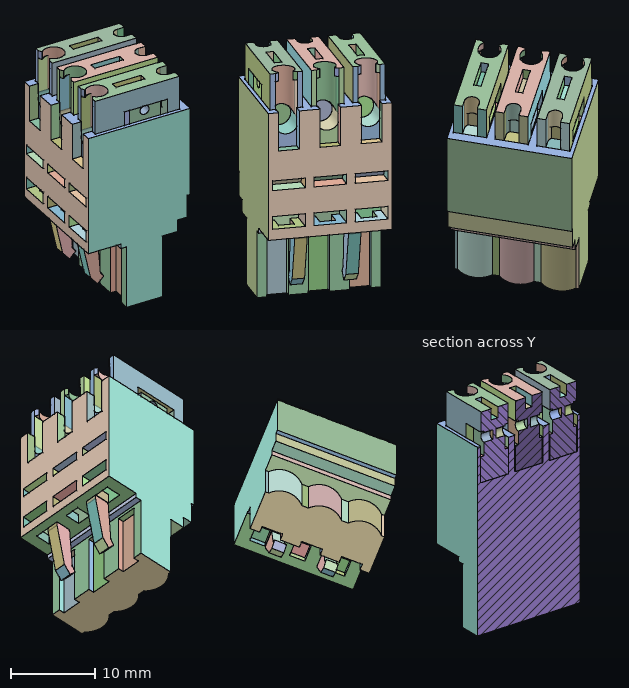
import cadquery as cq
import math

POLES = 3
WIDTH = 15.25
DEPTH = 14.0
HEIGHT = 29.5
PITCH = WIDTH / POLES
POLE_X = [(i - (POLES - 1) / 2) * PITCH for i in range(POLES)]

HOUSING_TOP = 25.0
FRONT_BOTTOM = 9.03
SHOULDER_BOTTOM = 8.4
SHOULDER_FRONT = 4.45
UPPER_STEP_BACK = 13.57
UPPER_STEP_Z = 13.0
LOWER_STEP_BACK = 12.27
LOWER_STEP_Z = 10.0

PLUG_FRONT = 5.25
PLUG_BACK = 10.18
BULGE_WIDTH = 4.25
BULGE_HEIGHT = 0.9
KEYWAY_WIDTH = 2.63
KEYWAY_DEPTH = 0.77
KEYWAY_TOP = 7.96

NOTCH_WIDTH = 2.55
NOTCH_FLOOR = 20.18
WINDOW_WIDTH = 4.0
UPPER_WINDOW_BOTTOM = 15.25
UPPER_WINDOW_TOP = 16.45
UPPER_WINDOW_DEPTH = 2.12
UPPER_WINDOW_BACK_TILT = 34.0
LOWER_WINDOW_BOTTOM = 10.38
LOWER_WINDOW_TOP = 11.98
LOWER_WINDOW_DEPTH = 3.25
DRAIN_WIDTH = 1.95
DRAIN_FRONT = 1.2

LATCH_SPACING = 6.6
LATCH_WIDTH = 1.53
LATCH_FRONT = 1.18
LATCH_ROOT_BACK = 3.25
LATCH_BEND_Z = 8.5
LATCH_HEEL_Y = 2.4
LATCH_HEEL_Z = 3.0
LATCH_TIP_Y = 3.33
LATCH_TIP_Z = 1.98
LATCH_BARB_Y = 4.15
LATCH_BARB_Z = 2.85
LATCH_NECK_Y = 3.7
LATCH_NECK_Z = 3.6

ACTUATOR_WIDTH = 4.0
SIDE_CLEARANCE = 0.045
ACTUATOR_FRONT = 1.25
ACTUATOR_BACK = 12.83
ACTUATOR_BOTTOM = NOTCH_FLOOR

CHANNEL_WIDTH = 2.7
CHANNEL_Y = 2.6
BORE_DIAMETER = 2.9
BORE_Z = 23.25
BORE_LENGTH = 3.4
LIP_HEIGHT = 1.05
NECK_WIDTH = 1.8
FLARE_DEPTH = 0.25

OPENING_FRONT = 5.28
OPENING_BACK = 11.18
OPENING_TOP = 26.82
OPENING_BOTTOM = 23.6
TAB_FRONT = 6.2
TAB_BACK = 10.47
TAB_RECESS = 0.4
PIVOT_DIAMETER = 1.2
PIVOT_Y = 8.25
PIVOT_Z = 26.0
PIVOT_DEPTH = 1.33
SLOT_WIDTH = 0.9
SLOT_LENGTH = 3.92
SLOT_Y = 7.0
SLOT_DEPTH = 1.48
GROOVE_WIDTH = 1.8
GROOVE_FRONT = 10.95


def block(width, y_front, y_back, z_bottom, z_top, x_center=0.0):
    """Box centred on x_center in X, with its other sides given as positions."""
    size = (width, y_back - y_front, z_top - z_bottom)
    box = cq.Workplane("XY").box(*size, centered=(True, False, False))
    return box.translate((x_center, y_front, z_bottom))


def side_prism(points, width, x_center=0.0):
    """Closed (y, z) outline extruded along X, centred on x_center."""
    prism = cq.Workplane("YZ").polyline(points).close().extrude(width / 2, both=True)
    return prism.translate((x_center, 0, 0))


def housing_shell():
    outline = [
        (0, FRONT_BOTTOM),
        (SHOULDER_FRONT, FRONT_BOTTOM),
        (SHOULDER_FRONT, SHOULDER_BOTTOM),
        (LOWER_STEP_BACK, SHOULDER_BOTTOM),
        (LOWER_STEP_BACK, LOWER_STEP_Z),
        (UPPER_STEP_BACK, LOWER_STEP_Z),
        (UPPER_STEP_BACK, UPPER_STEP_Z),
        (DEPTH, UPPER_STEP_Z),
        (DEPTH, HOUSING_TOP),
        (0, HOUSING_TOP),
    ]
    return side_prism(outline, WIDTH)


def plug():
    """Plug with one rounded bulge per pole on its back and one keyway per pole in its front."""
    outline = cq.Workplane("XY").moveTo(WIDTH / 2, PLUG_BACK).lineTo(WIDTH / 2, PLUG_FRONT)
    outline = outline.lineTo(-WIDTH / 2, PLUG_FRONT).lineTo(-WIDTH / 2, PLUG_BACK)
    for x in POLE_X:
        outline = outline.lineTo(x - BULGE_WIDTH / 2, PLUG_BACK)
        outline = outline.threePointArc((x, PLUG_BACK + BULGE_HEIGHT), (x + BULGE_WIDTH / 2, PLUG_BACK))
    body = outline.close().extrude(SHOULDER_BOTTOM)
    for x in POLE_X:
        body = body.cut(block(KEYWAY_WIDTH, PLUG_FRONT, PLUG_FRONT + KEYWAY_DEPTH, 0, KEYWAY_TOP, x))
    return body


def latch(x):
    """Hook that hangs from the front overhang and leans back towards the plug."""
    outline = [
        (LATCH_FRONT, FRONT_BOTTOM),
        (LATCH_FRONT, LATCH_BEND_Z),
        (LATCH_HEEL_Y, LATCH_HEEL_Z),
        (LATCH_TIP_Y, LATCH_TIP_Z),
        (LATCH_BARB_Y, LATCH_BARB_Z),
        (LATCH_NECK_Y, LATCH_NECK_Z),
        (LATCH_ROOT_BACK, FRONT_BOTTOM),
    ]
    return side_prism(outline, LATCH_WIDTH, x)


def upper_window(x):
    """Opening whose back wall slopes, deepest at the floor."""
    height = UPPER_WINDOW_TOP - UPPER_WINDOW_BOTTOM
    depth_at_top = UPPER_WINDOW_DEPTH - height * math.tan(math.radians(UPPER_WINDOW_BACK_TILT))
    outline = [
        (0, UPPER_WINDOW_BOTTOM),
        (UPPER_WINDOW_DEPTH, UPPER_WINDOW_BOTTOM),
        (depth_at_top, UPPER_WINDOW_TOP),
        (0, UPPER_WINDOW_TOP),
    ]
    return side_prism(outline, WINDOW_WIDTH, x)


def lower_window(x):
    """Opening with a rectangular hole from its floor down through the overhang."""
    opening = block(WINDOW_WIDTH, 0, LOWER_WINDOW_DEPTH, LOWER_WINDOW_BOTTOM, LOWER_WINDOW_TOP, x)
    drain = block(DRAIN_WIDTH, DRAIN_FRONT, LOWER_WINDOW_DEPTH, FRONT_BOTTOM, LOWER_WINDOW_TOP, x)
    return opening.union(drain)


def make_housing():
    body = housing_shell().union(plug())
    for side in (-1, 1):
        body = body.union(latch(side * LATCH_SPACING / 2))
    pocket_width = ACTUATOR_WIDTH + 2 * SIDE_CLEARANCE
    for x in POLE_X:
        body = body.cut(block(pocket_width, ACTUATOR_FRONT, ACTUATOR_BACK, ACTUATOR_BOTTOM, HOUSING_TOP, x))
        body = body.cut(block(NOTCH_WIDTH, 0, ACTUATOR_FRONT, NOTCH_FLOOR, HOUSING_TOP, x))
        body = body.cut(upper_window(x))
        body = body.cut(lower_window(x))
    return body


def wire_entry():
    """Upright channel open to the front, narrowed by flared lips at the top, and a level bore at its foot."""
    lip_bottom = HEIGHT - LIP_HEIGHT
    radius = CHANNEL_WIDTH / 2
    round_part = cq.Workplane("XY", origin=(0, CHANNEL_Y, BORE_Z)).circle(radius).extrude(HEIGHT - BORE_Z)
    open_part = block(CHANNEL_WIDTH, ACTUATOR_FRONT, CHANNEL_Y, BORE_Z, lip_bottom)
    neck_back = ACTUATOR_FRONT + FLARE_DEPTH
    mouth = (
        cq.Workplane("XY", origin=(0, 0, lip_bottom))
        .moveTo(-radius, ACTUATOR_FRONT)
        .lineTo(-NECK_WIDTH / 2, neck_back)
        .lineTo(-NECK_WIDTH / 2, CHANNEL_Y)
        .lineTo(NECK_WIDTH / 2, CHANNEL_Y)
        .lineTo(NECK_WIDTH / 2, neck_back)
        .lineTo(radius, ACTUATOR_FRONT)
        .close()
        .extrude(LIP_HEIGHT)
    )
    bore_plane = cq.Workplane("XZ", origin=(0, ACTUATOR_FRONT, BORE_Z))
    bore = bore_plane.circle(BORE_DIAMETER / 2).extrude(-BORE_LENGTH)
    return round_part.union(open_part).union(mouth).union(bore)


def side_opening():
    """Opening across the actuator that leaves a narrower tab with a blind pivot hole in each side."""
    opening = block(ACTUATOR_WIDTH, OPENING_FRONT, OPENING_BACK, OPENING_BOTTOM, OPENING_TOP)
    tab_width = ACTUATOR_WIDTH - 2 * TAB_RECESS
    tab = block(tab_width, TAB_FRONT, TAB_BACK, OPENING_BOTTOM, OPENING_TOP)
    for side in (-1, 1):
        pivot = cq.Workplane("YZ", origin=(side * tab_width / 2, PIVOT_Y, PIVOT_Z)).circle(PIVOT_DIAMETER / 2)
        tab = tab.cut(pivot.extrude(-side * PIVOT_DEPTH))
    return opening.cut(tab)


def finger_groove():
    """Round-ended groove down the back, from the top to the level of the housing top."""
    radius = GROOVE_WIDTH / 2
    arc_y = GROOVE_FRONT + radius
    height = HEIGHT - HOUSING_TOP
    round_end = cq.Workplane("XY", origin=(0, arc_y, HOUSING_TOP)).circle(radius).extrude(height)
    return round_end.union(block(GROOVE_WIDTH, arc_y, ACTUATOR_BACK, HOUSING_TOP, HEIGHT))


def make_actuator(x):
    body = block(ACTUATOR_WIDTH, ACTUATOR_FRONT, ACTUATOR_BACK, ACTUATOR_BOTTOM, HEIGHT)
    body = body.cut(wire_entry())
    body = body.cut(side_opening())
    body = body.cut(finger_groove())
    slot_front = SLOT_Y - SLOT_LENGTH / 2
    body = body.cut(block(SLOT_WIDTH, slot_front, slot_front + SLOT_LENGTH, HEIGHT - SLOT_DEPTH, HEIGHT))
    return body.translate((x, 0, 0))


housing = make_housing()
actuators = [make_actuator(x) for x in POLE_X]

result = cq.Compound.makeCompound([housing.val(), *[actuator.val() for actuator in actuators]])